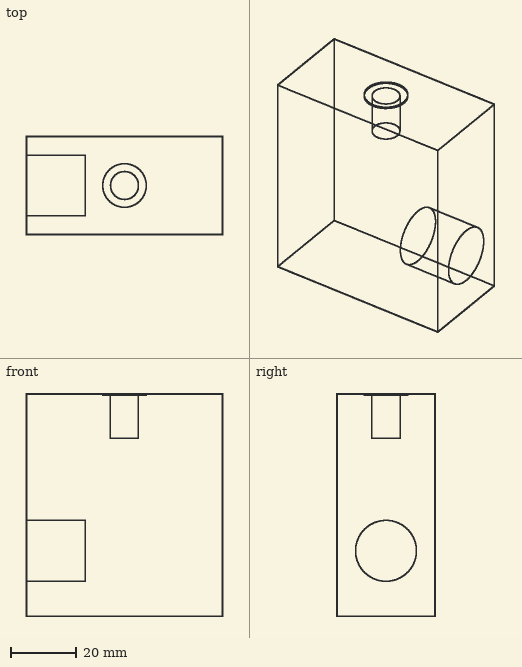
import cadquery as cq

width = 60.0
depth = 30.0
height = 68.0

side_port_diameter = 18.6
side_port_depth = 18.0
side_port_height = 20.0

top_port_diameter = 8.6
top_port_depth = 13.6
spotface_diameter = 13.3
spotface_depth = 0.5


def make_block():
    return cq.Workplane("XY").box(width, depth, height, centered=(True, True, False))


def side_port():
    mouth = cq.Workplane("YZ", origin=(-width / 2, 0, side_port_height))
    return mouth.circle(side_port_diameter / 2).extrude(side_port_depth)


def cut_top_port(block):
    return block.faces(">Z").workplane().cboreHole(
        top_port_diameter, spotface_diameter, spotface_depth, top_port_depth
    )


result = cut_top_port(make_block()).cut(side_port())